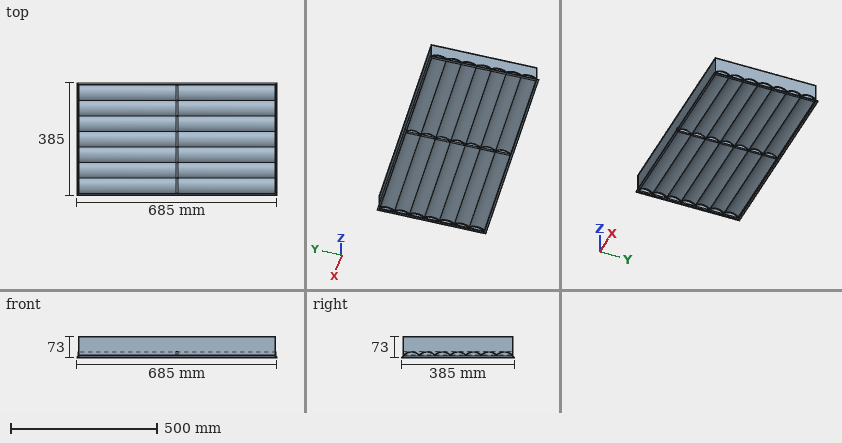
import cadquery as cq
import math

length = 685.0
width = 385.0
height = 73.0

flange_overhang = 5.0
flange_edge = 2.0
flange_height = 7.5
wall = 2.0

arch_count = 7
arch_crown_z = 21.0
arch_foot_z = 10.0
sheet = 1.5
sheet_projection = 1.0

bar_width = 7.0
bar_top_z = 22.5
bar_bottom_z = 9.5

frame_length = length - 2 * flange_overhang
frame_width = width - 2 * flange_overhang
inner_length = frame_length - 2 * wall
inner_width = frame_width - 2 * wall

pitch = inner_width / arch_count
rise = arch_crown_z - arch_foot_z
arch_radius = ((pitch / 2) ** 2 + rise**2) / (2 * rise)
arch_center_z = arch_crown_z - arch_radius

inner_radius = arch_radius - sheet
inner_foot_z = arch_center_z + math.sqrt(inner_radius**2 - (pitch / 2) ** 2)


def make_frame():
    slope_height = flange_height - flange_edge
    slope_angle = math.degrees(math.atan2(flange_overhang, slope_height))
    edge = cq.Workplane("XY").rect(length, width).extrude(flange_edge)
    slope = (
        cq.Workplane("XY", origin=(0, 0, flange_edge))
        .rect(length, width)
        .extrude(slope_height, taper=slope_angle)
    )
    walls = cq.Workplane("XY").rect(frame_length, frame_width).extrude(height)
    opening = cq.Workplane("XY").rect(inner_length, inner_width).extrude(height)
    return edge.union(slope).union(walls).cut(opening)


def make_arch_sheet(center_y):
    left = center_y - pitch / 2
    right = center_y + pitch / 2
    sheet_length = frame_length + 2 * sheet_projection
    return (
        cq.Workplane("YZ", origin=(-sheet_length / 2, 0, 0))
        .moveTo(left, arch_foot_z)
        .threePointArc((center_y, arch_crown_z), (right, arch_foot_z))
        .lineTo(right, inner_foot_z)
        .threePointArc((center_y, arch_crown_z - sheet), (left, inner_foot_z))
        .close()
        .extrude(sheet_length)
    )


def make_cross_bar():
    bar_height = bar_top_z - bar_bottom_z
    return (
        cq.Workplane("XY", origin=(0, 0, bar_bottom_z))
        .rect(bar_width, inner_width)
        .extrude(bar_height)
    )


result = make_frame().union(make_cross_bar())
for index in range(arch_count):
    arch_y = (index - (arch_count - 1) / 2) * pitch
    result = result.union(make_arch_sheet(arch_y))